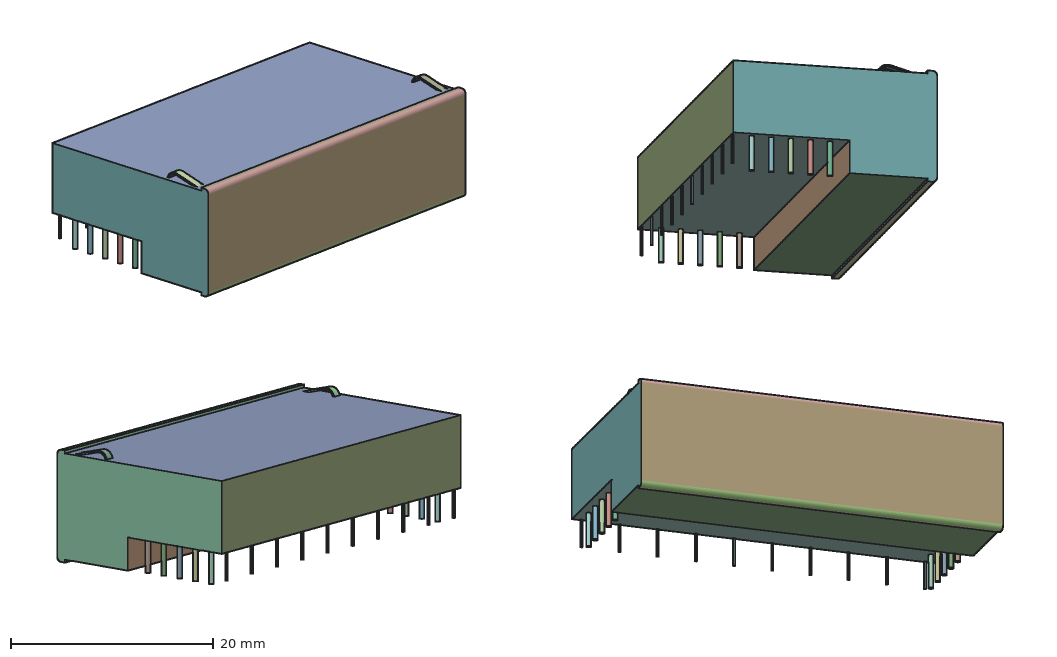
import cadquery as cq
import math

length_x = 20.8
width_y = 37.9
total_height = 11.82

bead_height = 11.37
bead_depth = 1.0
bead_x = length_x - bead_depth
bead_overhang = 0.3
bead_round = 0.5
body_bottom = bead_overhang
body_top = bead_height - bead_overhang
step_x = 11.85
pin_side_height = 7.4
step_z = body_top - pin_side_height

thin_pin_side = 0.2
thin_pin_length = 2.88
thin_pin_count = 10
thin_pin_inset = 0.15
thin_row_length = 36.0
thin_pin_pitch = thin_row_length / (thin_pin_count - 1)

thick_pin_radius = 0.255
thick_pin_length = 3.5
thick_pin_count = 5
thick_pin_pitch = thin_pin_pitch / 2
thick_pin_start = 2.12
thick_pin_inset = 1.02

spring_width = 0.9
spring_thickness = 0.2
spring_inset = 0.95
spring_toe_x = length_x - 1.97
spring_radius = 1.0
toe_slope = math.radians(15)
heel_slope = math.radians(60)


def centred_prism(profile, width, y=0):
    """Extrude a closed XZ profile equally to both sides of the given Y."""
    return profile.extrude(width / 2, both=True).translate((0, y, 0))


def make_housing():
    """Stepped block closed at +X by a slab that overhangs it above and below."""
    block = (
        cq.Workplane("XZ")
        .moveTo(0, step_z)
        .lineTo(step_x, step_z)
        .lineTo(step_x, body_bottom)
        .lineTo(bead_x, body_bottom)
        .lineTo(bead_x, body_top)
        .lineTo(0, body_top)
        .close()
    )
    bead = (
        cq.Workplane("XY")
        .box(bead_depth, width_y, bead_height)
        .translate((length_x - bead_depth / 2, 0, bead_height / 2))
        .edges(">X and |Y")
        .fillet(bead_round)
    )
    return centred_prism(block, width_y).union(bead)


def pin_sites(positions):
    """Pin centres on the stepped underside."""
    return cq.Workplane("XY", origin=(0, 0, step_z)).pushPoints(positions)


def make_spring(y):
    """Strip with a steep straight heel, an arc over the top and a gentle slope to its toe."""
    centre_z = total_height - spring_radius

    def foot_reach(radius, slope):
        """Distance in X from the arc centre to where the arc's tangent meets the top face."""
        return (radius + (centre_z - body_top) * math.cos(slope)) / math.sin(slope)

    centre_x = spring_toe_x - foot_reach(spring_radius, toe_slope)

    def arc_point(radius, tilt):
        """Point on the arc, tilted from the vertical toward +X."""
        return (centre_x + radius * math.sin(tilt), centre_z + radius * math.cos(tilt))

    inner_radius = spring_radius - spring_thickness
    profile = (
        cq.Workplane("XZ")
        .moveTo(centre_x - foot_reach(spring_radius, heel_slope), body_top)
        .lineTo(*arc_point(spring_radius, -heel_slope))
        .threePointArc(arc_point(spring_radius, 0), arc_point(spring_radius, toe_slope))
        .lineTo(spring_toe_x, body_top)
        .lineTo(centre_x + foot_reach(inner_radius, toe_slope), body_top)
        .lineTo(*arc_point(inner_radius, toe_slope))
        .threePointArc(arc_point(inner_radius, 0), arc_point(inner_radius, -heel_slope))
        .lineTo(centre_x - foot_reach(inner_radius, heel_slope), body_top)
        .close()
    )
    return centred_prism(profile, spring_width, y)


thick_pin_y = width_y / 2 - thick_pin_inset
thick_pin_positions = [
    (thick_pin_start + i * thick_pin_pitch, side * thick_pin_y)
    for i in range(thick_pin_count)
    for side in (-1, 1)
]
thin_pin_positions = [
    (thin_pin_inset, i * thin_pin_pitch - thin_row_length / 2)
    for i in range(thin_pin_count)
]

thick_pins = pin_sites(thick_pin_positions).circle(thick_pin_radius).extrude(-thick_pin_length)
thin_pins = pin_sites(thin_pin_positions).rect(thin_pin_side, thin_pin_side).extrude(-thin_pin_length)

result = make_housing().union(thick_pins).union(thin_pins)
for side in (-1, 1):
    result = result.union(make_spring(side * (width_y / 2 - spring_inset)))